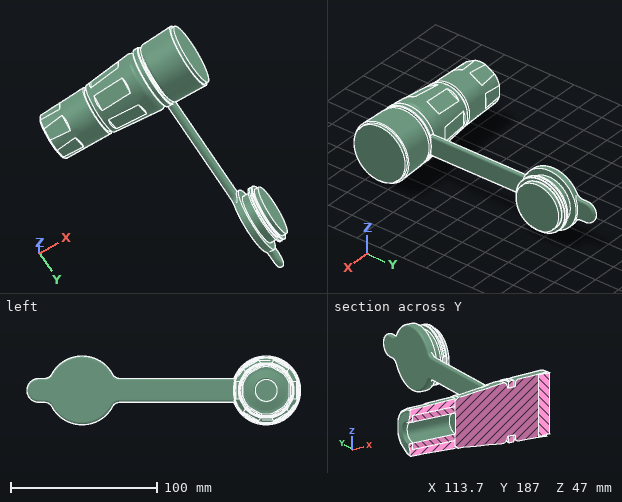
import cadquery as cq
import math


NUT_FACE_X = 1.1
NUT_END_X = 37.5
NUT_START_RADIUS = 17.2
NUT_END_RADIUS = 18.3
NUT_CHAMFER = 1.0
NOSE_BASE_RADIUS = 14.0
NOSE_TIP_RADIUS = 8.5
BORE_RADIUS = 7.5
NUT_FLAT_DISTANCE = 16.6
NUT_FLAT_END_X = 17.5

GLAND_START_X = 3.5
GLAND_RADIUS = 12.2

SLEEVE_END_X = 79.7
SLEEVE_TIP_RADIUS = 16.3
SLEEVE_CONE_X = 40.0
SLEEVE_CONE_RADIUS = 18.7
SLEEVE_END_RADIUS = 22.6
SLEEVE_FILLET = 3.7
SLEEVE_FLAT_START_X = 44.0
SLEEVE_FLAT_END_X = 67.5
SLEEVE_FLAT_START_DISTANCE = 18.1
SLEEVE_FLAT_END_DISTANCE = 20.5
NECK_RADIUS = 17.8

COUPLING_START_X = 85.9
COUPLING_END_X = 111.3
COUPLING_START_RADIUS = 22.6
COUPLING_END_RADIUS = 23.5
COUPLING_FILLET = 3.0

INSERT_START_X = 104.7
INSERT_END_X = 113.7
INSERT_RADIUS = 22.3

RING_START_X = 80.5
RING_END_X = 85.0
RING_RADIUS = 22.6
RING_CHAMFER = 0.5
PLATE_FACE_X = 80.8
PLATE_THICKNESS = 4.0
PLATE_FILLET = 1.7
DISC_RADIUS = 23.5
DISC_END_X = 86.5
LID_Y = 125.7
STRAP_HALF_WIDTH = 8.2
STRAP_FOOT_Y = 20.5
TAB_REACH = 37.8
CORNER_RADIUS = 5.6
PLUG_RADIUS = 18.5
PLUG_END_X = 99.3
RIB_RADIUS = 21.1
RIBS = [(92.5, 93.7), (95.4, 96.1)]

FLAT_COUNT = 6
FLAT_WIDTH = 18.7
FLAT_RISE = 3.7


def turned(start_x, end_x, start_radius, end_radius, axis_y=0.0):
    """Solid cylinder or frustum around an axis parallel to X."""
    profile = [(start_x, 0), (end_x, 0), (end_x, end_radius), (start_x, start_radius)]
    solid = cq.Workplane("XY").polyline(profile).close().revolve(360, (0, 0), (1, 0))
    return solid.translate((0, axis_y, 0))


def cut_flats(body, start_x, end_x, start_distance, end_distance):
    """Mill flats around the X axis, the first facing -Y, with 45 degree end walls."""
    profile = [
        (start_x, -start_distance),
        (end_x, -end_distance),
        (end_x + FLAT_RISE, -end_distance - FLAT_RISE),
        (start_x - FLAT_RISE, -start_distance - FLAT_RISE),
    ]
    cutter = cq.Workplane("XY").polyline(profile).close().extrude(FLAT_WIDTH / 2, both=True)
    for index in range(FLAT_COUNT):
        angle = index * 360 / FLAT_COUNT
        body = body.cut(cutter.rotate((0, 0, 0), (1, 0, 0), angle))
    return body


def make_mouth_cutter():
    """Cutter that rounds the nose edge into the bore with a quarter-circle arc."""
    rounding = NOSE_TIP_RADIUS - BORE_RADIUS
    arc_reach = rounding * math.sin(math.pi / 4)
    profile = (
        cq.Workplane("XY")
        .lineTo(0, NOSE_TIP_RADIUS)
        .threePointArc((rounding - arc_reach, NOSE_TIP_RADIUS - arc_reach), (rounding, BORE_RADIUS))
        .lineTo(rounding, 0)
        .close()
    )
    return profile.revolve(360, (0, 0), (1, 0))


def make_nut():
    nut = turned(NUT_FACE_X, NUT_END_X, NUT_START_RADIUS, NUT_END_RADIUS)
    nut = cut_flats(nut, 0, NUT_FLAT_END_X, NUT_FLAT_DISTANCE, NUT_FLAT_DISTANCE)
    nut = nut.faces("<X").chamfer(NUT_CHAMFER)
    nut = nut.union(turned(0, NUT_FACE_X, NOSE_TIP_RADIUS, NOSE_BASE_RADIUS))
    nut = nut.cut(make_mouth_cutter())
    nut = nut.cut(turned(0, GLAND_START_X, BORE_RADIUS, BORE_RADIUS))
    return nut.cut(turned(GLAND_START_X, NUT_END_X, GLAND_RADIUS, GLAND_RADIUS))


def make_gland():
    gland = turned(GLAND_START_X, NUT_END_X, GLAND_RADIUS, GLAND_RADIUS)
    return gland.cut(turned(GLAND_START_X, NUT_END_X, BORE_RADIUS, BORE_RADIUS))


def make_sleeve():
    cone = turned(SLEEVE_CONE_X, SLEEVE_END_X, SLEEVE_CONE_RADIUS, SLEEVE_END_RADIUS)
    cone = cone.faces(">X").edges().fillet(SLEEVE_FILLET)
    tip = turned(NUT_END_X, SLEEVE_CONE_X, SLEEVE_TIP_RADIUS, SLEEVE_CONE_RADIUS)
    return cut_flats(
        cone.union(tip),
        SLEEVE_FLAT_START_X,
        SLEEVE_FLAT_END_X,
        SLEEVE_FLAT_START_DISTANCE,
        SLEEVE_FLAT_END_DISTANCE,
    )


def make_insert():
    return turned(INSERT_START_X, INSERT_END_X, INSERT_RADIUS, INSERT_RADIUS)


def make_coupling():
    shell = turned(COUPLING_START_X, COUPLING_END_X, COUPLING_START_RADIUS, COUPLING_END_RADIUS)
    shell = shell.faces("<X").edges().fillet(COUPLING_FILLET)
    return shell.cut(make_insert())


def make_housing():
    """Rear sleeve and front coupling in one piece, joined by the neck of the strap groove."""
    neck = turned(SLEEVE_END_X, COUPLING_START_X, NECK_RADIUS, NECK_RADIUS)
    return make_sleeve().union(neck).union(make_coupling())


def make_cover_plate():
    """Strap, round cover and pull tab as one plate with rounded edges."""
    half = STRAP_HALF_WIDTH
    corner_z = half + CORNER_RADIUS
    corner_offset = math.sqrt((DISC_RADIUS + CORNER_RADIUS) ** 2 - corner_z ** 2)
    touch_scale = DISC_RADIUS / (DISC_RADIUS + CORNER_RADIUS)
    touch_offset = corner_offset * touch_scale
    touch_z = corner_z * touch_scale
    toward_disc = math.atan2(-corner_z, -corner_offset)
    middle_angle = (toward_disc - math.pi / 2) / 2
    middle_offset = corner_offset + CORNER_RADIUS * math.cos(middle_angle)
    middle_z = corner_z + CORNER_RADIUS * math.sin(middle_angle)
    tab_centre_y = LID_Y + TAB_REACH - half

    outline = (
        cq.Workplane("YZ", origin=(PLATE_FACE_X, 0, 0))
        .moveTo(STRAP_FOOT_Y, half)
        .lineTo(LID_Y - corner_offset, half)
        .threePointArc((LID_Y - middle_offset, middle_z), (LID_Y - touch_offset, touch_z))
        .threePointArc((LID_Y, DISC_RADIUS), (LID_Y + touch_offset, touch_z))
        .threePointArc((LID_Y + middle_offset, middle_z), (LID_Y + corner_offset, half))
        .lineTo(tab_centre_y, half)
        .threePointArc((LID_Y + TAB_REACH, 0), (tab_centre_y, -half))
        .lineTo(LID_Y + corner_offset, -half)
        .threePointArc((LID_Y + middle_offset, -middle_z), (LID_Y + touch_offset, -touch_z))
        .threePointArc((LID_Y, -DISC_RADIUS), (LID_Y - touch_offset, -touch_z))
        .threePointArc((LID_Y - middle_offset, -middle_z), (LID_Y - corner_offset, -half))
        .lineTo(STRAP_FOOT_Y, -half)
        .close()
    )
    return outline.extrude(PLATE_THICKNESS).faces("<X or >X").edges().fillet(PLATE_FILLET)


def make_lid():
    ring = turned(RING_START_X, RING_END_X, RING_RADIUS, RING_RADIUS)
    ring = ring.faces("<X or >X").chamfer(RING_CHAMFER)
    lid = ring.union(make_cover_plate())
    lid = lid.cut(turned(RING_START_X, RING_END_X, NECK_RADIUS, NECK_RADIUS))

    disc_start_x = PLATE_FACE_X + PLATE_FILLET
    lid = lid.union(turned(disc_start_x, DISC_END_X, DISC_RADIUS, DISC_RADIUS, LID_Y))
    lid = lid.union(turned(disc_start_x, PLUG_END_X, PLUG_RADIUS, PLUG_RADIUS, LID_Y))
    for rib_start_x, rib_end_x in RIBS:
        lid = lid.union(turned(rib_start_x, rib_end_x, RIB_RADIUS, RIB_RADIUS, LID_Y))
    return lid


nut = make_nut()
gland = make_gland()
housing = make_housing()
insert = make_insert()
lid = make_lid()

result = cq.Compound.makeCompound(
    [body.solids().val() for body in (nut, gland, housing, insert, lid)]
)